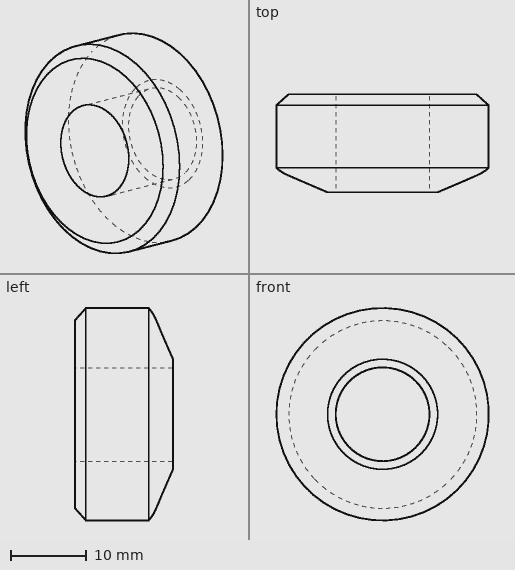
import cadquery as cq

outer_radius = 14.07
bore_radius = 6.2
front_face_radius = 7.3
cone_radius = 12.52
back_face_radius = 12.45
back_chamfer_radius = 13.87

width = 13.0
back_chamfer_depth = 1.3
rim_start = 1.45
rim_end = 9.76
cone_start = 10.75

section = (
    cq.Workplane("XY")
    .moveTo(bore_radius, 0)
    .lineTo(bore_radius, width)
    .lineTo(front_face_radius, width)
    .lineTo(cone_radius, cone_start)
    .tangentArcPoint((outer_radius, rim_end), relative=False)
    .lineTo(outer_radius, rim_start)
    .lineTo(back_chamfer_radius, back_chamfer_depth)
    .lineTo(back_face_radius, 0)
    .close()
)

ring = section.revolve(360, (0, 0, 0), (0, 1, 0))
result = ring.rotate((0, 0, 0), (0, 0, 1), 180)